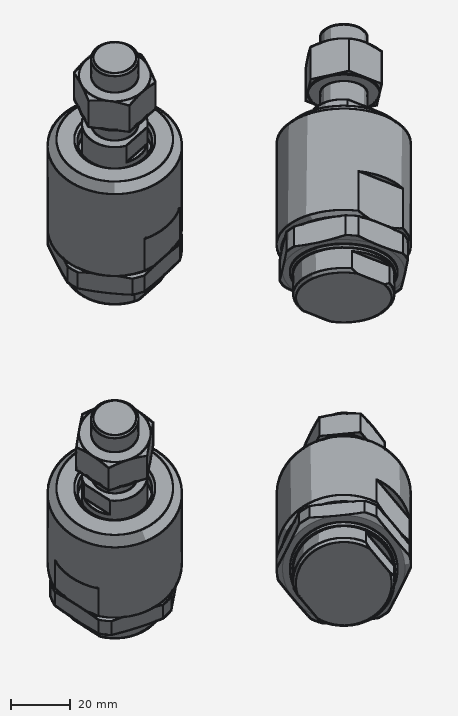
import cadquery as cq
import math

plug_flat_top = 8.0
thread_bottom = 9.2
lock_nut_bottom = 10.2
housing_bottom = 19.1
plug_top = 36.2
housing_top = 63.3
shoulder_top = 71.1
hex_nut_bottom = 80.1
hex_nut_top = 94.3
stud_top = 103.0

housing_diameter = 45.0
housing_top_chamfer = 3.0
housing_bottom_chamfer = 1.5
opening_diameter = 25.0
opening_chamfer = 1.0
lip_thickness = 6.0
ring_top = housing_top - lip_thickness

thread_diameter = 36.0
thread_end_diameter = 34.5
thread_chamfer_height = 0.77
neck_diameter = 33.9
neck_end_diameter = 32.0
neck_chamfer_height = 1.2
plug_flats = 30.0
lock_nut_flats = 41.0
lock_nut_chamfer_angle = 15

shank_diameter = 15.9
shank_end_diameter = 14.3
shoulder_diameter = 22.0
shoulder_flats = 19.1
shoulder_flat_height = 8.0
hex_nut_flats = 24.0
hex_nut_chamfer_angle = 30
hex_nut_face_height = 0.4


def cylinder(diameter, bottom, top):
    return cq.Workplane("XY").workplane(offset=bottom).circle(diameter / 2).extrude(top - bottom)


def hexagon(across_flats, bottom, top):
    """Hexagonal prism with two of its flats facing -X and +X."""
    corner_diameter = across_flats / math.cos(math.radians(30))
    prism = cq.Workplane("XY").workplane(offset=bottom).polygon(6, corner_diameter).extrude(top - bottom)
    return prism.rotate((0, 0, 0), (0, 0, 1), 30)


def revolved(profile):
    """Solid of revolution about Z from (radius, height) points."""
    return cq.Workplane("XZ").polyline(profile).close().revolve(360, (0, 0), (0, 1))


def cut_side_flats(body, across_flats, diameter, bottom, top):
    """Cut two parallel flats, facing -X and +X, between two heights."""
    for side in (-1, 1):
        waste = cq.Workplane("XY").box(diameter, 2 * diameter, top - bottom, centered=(True, True, False))
        body = body.cut(waste.translate((side * (across_flats + diameter) / 2, 0, bottom)))
    return body


def make_housing():
    body = cylinder(housing_diameter, housing_bottom, housing_top)
    body = body.faces(">Z").chamfer(housing_top_chamfer)
    body = body.faces("<Z").chamfer(housing_bottom_chamfer)
    body = body.cut(cylinder(thread_diameter, housing_bottom, ring_top))
    body = body.cut(cylinder(opening_diameter, ring_top, housing_top))
    body = body.faces(">Z").edges(cq.selectors.RadiusNthSelector(0)).chamfer(opening_chamfer)
    return cut_side_flats(body, lock_nut_flats, housing_diameter, housing_bottom, plug_top)


def make_plug():
    body = revolved([
        (0, 0),
        (neck_end_diameter / 2, 0),
        (neck_diameter / 2, neck_chamfer_height),
        (neck_diameter / 2, thread_bottom),
        (thread_end_diameter / 2, thread_bottom),
        (thread_diameter / 2, thread_bottom + thread_chamfer_height),
        (thread_diameter / 2, plug_top),
        (0, plug_top),
    ])
    return cut_side_flats(body, plug_flats, neck_diameter, 0, plug_flat_top)


def make_lock_nut():
    """Hexagon with rounded corners, chamfered on both faces, on the plug thread."""
    inner_radius = lock_nut_flats / 2
    outer_radius = housing_diameter / 2
    chamfer_height = (outer_radius - inner_radius) * math.tan(math.radians(lock_nut_chamfer_angle))
    envelope = revolved([
        (0, lock_nut_bottom),
        (inner_radius, lock_nut_bottom),
        (outer_radius, lock_nut_bottom + chamfer_height),
        (outer_radius, housing_bottom - chamfer_height),
        (inner_radius, housing_bottom),
        (0, housing_bottom),
    ])
    body = hexagon(lock_nut_flats, lock_nut_bottom, housing_bottom).intersect(envelope)
    return body.cut(cylinder(thread_diameter, lock_nut_bottom, housing_bottom))


def make_bearing_ring():
    """Ring that fills the housing bore around the stud shoulder."""
    body = cylinder(thread_diameter, plug_top, ring_top)
    return body.cut(cylinder(shoulder_diameter, plug_top, ring_top))


def make_stud():
    end_chamfer = (shank_diameter - shank_end_diameter) / 2
    shoulder = cylinder(shoulder_diameter, plug_top, shoulder_top)
    flat_bottom = shoulder_top - shoulder_flat_height
    shoulder = cut_side_flats(shoulder, shoulder_flats, shoulder_diameter, flat_bottom, shoulder_top)
    shank = cylinder(shank_diameter, shoulder_top, stud_top).faces(">Z").chamfer(end_chamfer)
    return shoulder.union(shank)


def make_hex_nut():
    """Nut with a chamfered top and a raised round face below."""
    face_radius = hex_nut_flats / 2
    corner_radius = face_radius / math.cos(math.radians(30))
    chamfer_height = (corner_radius - face_radius) * math.tan(math.radians(hex_nut_chamfer_angle))
    envelope = revolved([
        (0, hex_nut_bottom),
        (face_radius, hex_nut_bottom),
        (face_radius, hex_nut_bottom + hex_nut_face_height),
        (corner_radius, hex_nut_bottom + hex_nut_face_height),
        (corner_radius, hex_nut_top - chamfer_height),
        (face_radius, hex_nut_top),
        (0, hex_nut_top),
    ])
    body = hexagon(hex_nut_flats, hex_nut_bottom, hex_nut_top).intersect(envelope)
    return body.cut(cylinder(shank_diameter, hex_nut_bottom, hex_nut_top))


housing = make_housing()
plug = make_plug()
lock_nut = make_lock_nut()
bearing_ring = make_bearing_ring()
stud = make_stud()
hex_nut = make_hex_nut()

result = cq.Compound.makeCompound([
    housing.val(),
    plug.val(),
    lock_nut.val(),
    bearing_ring.val(),
    stud.val(),
    hex_nut.val(),
])